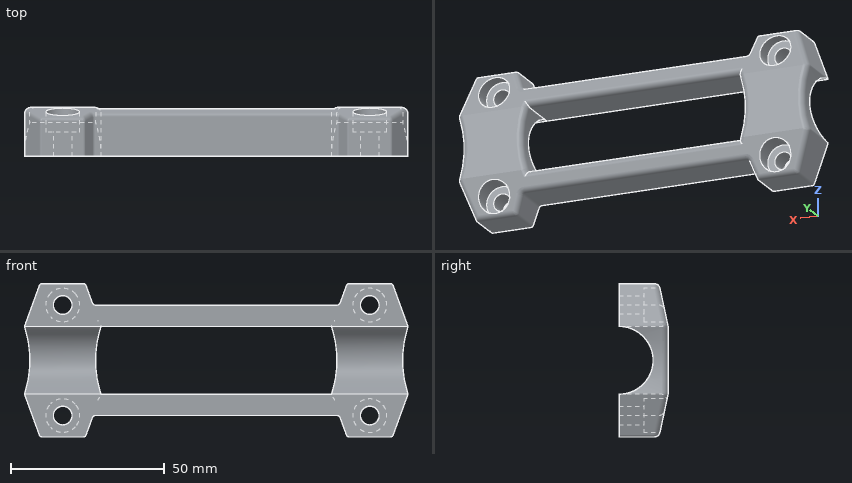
import cadquery as cq
import math

thickness = 16.0
half_height = 25.0
edge_thickness = 13.0
ridge_inset = 0.05

lug_x = 50.0
lug_half_width = 12.5
flank_angle = 20.0
end_arc_radius = 35.0
bore_radius = 11.0
bar_outer_z = 18.0

hole_z = 18.0
hole_diameter = 6.0
counterbore_diameter = 11.0
counterbore_floor_y = 8.0

corner_radius = 1.0
back_edge_radius = 2.0

tolerance = 0.001

flank_slope = math.tan(math.radians(flank_angle))
lug_top_half_width = lug_half_width - (half_height - bore_radius) * flank_slope
flank_at_bar = lug_half_width - (bar_outer_z - bore_radius) * flank_slope
end_sag = end_arc_radius - math.sqrt(end_arc_radius**2 - bore_radius**2)

level_half_width = bore_radius - ridge_inset
tip_x = lug_x + lug_half_width
window_x = lug_x - lug_half_width


def extrude_to_back(sketch):
    """Extrude an XZ outline from the flat face at Y = 0 to the full thickness."""
    return sketch.extrude(-thickness)


def outline():
    """Outer shape in the XZ plane, with sharp corners."""
    top_outer_x = lug_x + lug_top_half_width
    top_inner_x = lug_x - lug_top_half_width
    bar_x = lug_x - flank_at_bar
    end_x = tip_x - end_sag
    sketch = (
        cq.Workplane("XZ")
        .moveTo(-tip_x, bore_radius)
        .lineTo(-top_outer_x, half_height)
        .lineTo(-top_inner_x, half_height)
        .lineTo(-bar_x, bar_outer_z)
        .lineTo(bar_x, bar_outer_z)
        .lineTo(top_inner_x, half_height)
        .lineTo(top_outer_x, half_height)
        .lineTo(tip_x, bore_radius)
        .threePointArc((end_x, 0), (tip_x, -bore_radius))
        .lineTo(top_outer_x, -half_height)
        .lineTo(top_inner_x, -half_height)
        .lineTo(bar_x, -bar_outer_z)
        .lineTo(-bar_x, -bar_outer_z)
        .lineTo(-top_inner_x, -half_height)
        .lineTo(-top_outer_x, -half_height)
        .lineTo(-tip_x, -bore_radius)
        .threePointArc((-end_x, 0), (-tip_x, bore_radius))
        .close()
    )
    return extrude_to_back(sketch)


def window():
    """Opening between the rails, bulging into the lug bridges at both ends."""
    bulge_x = window_x + end_sag
    sketch = (
        cq.Workplane("XZ")
        .moveTo(-window_x, bore_radius)
        .lineTo(window_x, bore_radius)
        .threePointArc((bulge_x, 0), (window_x, -bore_radius))
        .lineTo(-window_x, -bore_radius)
        .threePointArc((-bulge_x, 0), (-window_x, bore_radius))
        .close()
    )
    return extrude_to_back(sketch)


def sloped_envelope():
    """Long prism whose back is level over the bore and slopes down beyond it."""
    return (
        cq.Workplane("YZ")
        .moveTo(0, -half_height)
        .lineTo(edge_thickness, -half_height)
        .lineTo(thickness, -level_half_width)
        .lineTo(thickness, level_half_width)
        .lineTo(edge_thickness, half_height)
        .lineTo(0, half_height)
        .close()
        .extrude(tip_x, both=True)
    )


def is_back_rim(edge):
    """True for edges of the back, other than the ridges where its faces meet."""
    on_back = edge.BoundingBox().ymin > edge_thickness - tolerance
    on_ridge = edge.geomType() == "LINE" and abs(abs(edge.Center().z) - level_half_width) < tolerance
    return on_back and not on_ridge


def is_inside_corner(edge):
    """True for upright edges where a lug flank meets a rail."""
    return abs(abs(edge.Center().z) - bar_outer_z) < tolerance


def is_outside_corner(edge):
    """True for upright edges at the tips and at the outer Z faces of the lugs."""
    center = edge.Center()
    at_tip = abs(center.x) > tip_x - tolerance
    at_outer_face = abs(center.z) > half_height - tolerance
    return at_tip or at_outer_face


def round_edges(body):
    """Round the inside corners, the rim of the back and then the outside corners."""
    body = body.edges("|Y").filter(is_inside_corner).fillet(corner_radius)
    body = body.edges().filter(is_back_rim).fillet(back_edge_radius)
    return body.edges("|Y").filter(is_outside_corner).fillet(corner_radius)


def screw_holes():
    """Through holes with counterbores opening on the sloped back."""
    points = [(x, z) for x in (-lug_x, lug_x) for z in (-hole_z, hole_z)]
    holes = extrude_to_back(cq.Workplane("XZ").pushPoints(points).circle(hole_diameter / 2))
    counterbores = (
        cq.Workplane("XZ", origin=(0, counterbore_floor_y, 0))
        .pushPoints(points)
        .circle(counterbore_diameter / 2)
        .extrude(-thickness)
    )
    return holes.union(counterbores)


blank = outline().cut(window()).intersect(sloped_envelope())
bore = cq.Workplane("YZ").circle(bore_radius).extrude(tip_x, both=True)
result = round_edges(blank).cut(bore).cut(screw_holes())